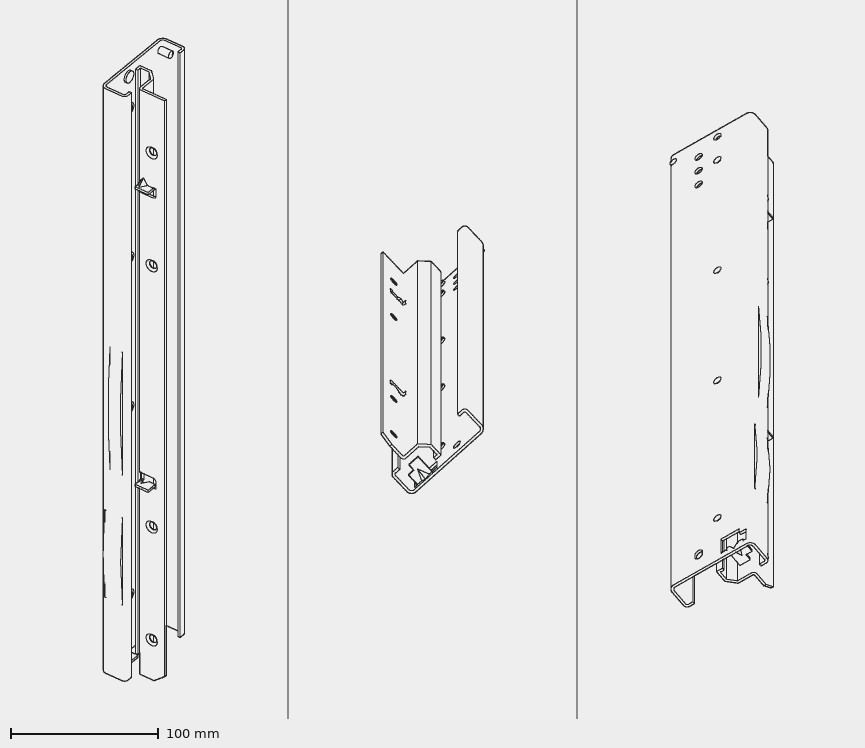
import cadquery as cq
import math

RAIL_LENGTH = 500.0
SHEET = 2.0
CUT_MARGIN = 5.0

RAIL_DEPTH = 69.0
RAIL_WIDTH = 21.0
LIP_LENGTH = 7.0
WEB_CORNER_RADIUS = 4.5
LIP_CORNER_RADIUS = 3.0

MOUNT_HOLE_DIAMETER = 6.0
MOUNT_HOLE_Y = 44.0
MOUNT_HOLE_Z = [449.0, 465.0, 481.0]
MOUNT_SLOT_Z = 19.0
MOUNT_SLOT_LENGTH = 9.0

COLLAR_HOLE_DIAMETER = 6.0
COLLAR_DIAMETER = 9.0
COLLAR_HEIGHT = 1.5
COLLAR_Y = 28.5
COLLAR_HOLE_Z = [49.0, 209.0, 337.0, 465.0]
STOP_Z = 492.0
DIMPLE_FLOOR_DIAMETER = 4.0
DIMPLE_DEPTH = 1.5

PIN_DIAMETER = 5.5
PIN_LENGTH = 11.0
PIN_Y = RAIL_DEPTH - 4.0

TONGUE_BOTTOM = 6.0
WINDOW_STEP_Z = 17.5
WINDOW_TOP = 22.0
WINDOW_Y = [5.0, 10.5, 25.5]
TONGUE_Y = [7.5, 12.5, 21.0]
TONGUE_SHORT = 11.0
TONGUE_LONG = 16.0
TONGUE_GUSSET_Y = 15.0
TONGUE_GUSSET_REACH = 8.0
TONGUE_GUSSET_DROP = 5.0

RAMP_RISE = 2.0
RAMP_RIGHT = 18.5
RAMPS = [
    (3.5, 65.0, 100.5, 105.0, 139.5),
    (8.0, 176.0, 211.5, 246.5, 281.0),
]

HOOK_LEFT = 7.5
HOOK_TOP = 34.5
HOOK_END = 29.5
HOOK_CHAMFER = 6.5
INNER_WEB_RIGHT = 24.0
INNER_WEB_LEFT = INNER_WEB_RIGHT - SHEET
FLANGE_BOTTOM = 13.0
FLANGE_TOP = FLANGE_BOTTOM + SHEET
FLANGE_RIGHT = 44.5
BEND_RADIUS = 2.5
FLANGE_CUT_WIDTH = 9.0
FLANGE_CUT_HEIGHT = 7.5

SCREW_HOLE_DIAMETER = 6.0
SCREW_SINK_DIAMETER = 9.5
SCREW_SINK_DEPTH = 1.5
SCREW_X = 33.5
SCREW_Z = [34.0, 130.5, 354.0, 450.5]

SLOT_RIGHT = 37.0
SLOT_HEIGHT = 8.5
SLOT_CORNER_RADIUS = 2.5
TAB_RIGHT = 35.0
TAB_DROP = 6.0
UPPER_TAB_Z = 421.0
LOWER_TAB_Z = 164.5
TAB_GUSSET_X = 26.5
TAB_GUSSET_LEG = 5.0

GUSSET_HALF_WIDTH = 3.5


def box(x_range, y_range, z_range):
    lengths = [abs(end - start) for start, end in (x_range, y_range, z_range)]
    corner = (min(x_range), min(y_range), min(z_range))
    return cq.Workplane("XY").box(*lengths, centered=False).translate(corner)


def cone(start_diameter, end_diameter, height, start, direction):
    solid = cq.Solid.makeCone(
        start_diameter / 2, end_diameter / 2, height, cq.Vector(*start), cq.Vector(*direction)
    )
    return cq.Workplane(solid)


def gusset(corner, fold_direction, first_leg, second_leg):
    """Tetrahedron that fills the inside corner of a fold."""
    origin = cq.Vector(*corner)
    half_fold = cq.Vector(*fold_direction) * GUSSET_HALF_WIDTH
    points = [
        origin - half_fold,
        origin + half_fold,
        origin + cq.Vector(*first_leg),
        origin + cq.Vector(*second_leg),
    ]
    faces = []
    for skipped in points:
        triangle = [point for point in points if point is not skipped]
        faces.append(cq.Face.makeFromWires(cq.Wire.makePolygon(triangle, close=True)))
    return cq.Workplane(cq.Solid.makeSolid(cq.Shell.makeShell(faces)))


def press_gusset(body, corner, fold_direction, first_leg, second_leg):
    """Add a gusset inside a fold and the matching dent on its outside."""
    rib = gusset(corner, fold_direction, first_leg, second_leg)
    inward = cq.Vector(*first_leg).normalized() + cq.Vector(*second_leg).normalized()
    dent = rib.translate(inward * -SHEET)
    return body.union(rib).cut(dent)



def rail_section():
    outside = (
        box((0, RAIL_WIDTH), (0, RAIL_DEPTH), (0, RAIL_LENGTH))
        .edges("|Z and <X").fillet(WEB_CORNER_RADIUS)
        .edges("|Z and >X").fillet(LIP_CORNER_RADIUS)
    )
    inside = (
        box((SHEET, RAIL_WIDTH - SHEET), (SHEET, RAIL_DEPTH - SHEET), (0, RAIL_LENGTH))
        .edges("|Z and <X").fillet(WEB_CORNER_RADIUS - SHEET)
        .edges("|Z and >X").fillet(LIP_CORNER_RADIUS - SHEET)
    )
    opening = box(
        (RAIL_WIDTH / 2, RAIL_WIDTH + CUT_MARGIN),
        (LIP_LENGTH, RAIL_DEPTH - LIP_LENGTH),
        (0, RAIL_LENGTH),
    )
    return outside.cut(inside).cut(opening)


def web_plane(x, y, z):
    return cq.Workplane("YZ", origin=(x, y, z))


def web_hole(diameter, y, z):
    return web_plane(-CUT_MARGIN, y, z).circle(diameter / 2).extrude(SHEET + 2 * CUT_MARGIN)


def collar(z):
    return web_plane(SHEET, COLLAR_Y, z).circle(COLLAR_DIAMETER / 2).extrude(COLLAR_HEIGHT)


def add_web_holes(rail):
    for z in COLLAR_HOLE_Z:
        rail = rail.union(collar(z)).cut(web_hole(COLLAR_HOLE_DIAMETER, COLLAR_Y, z))
    for z in MOUNT_HOLE_Z:
        rail = rail.cut(web_hole(MOUNT_HOLE_DIAMETER, MOUNT_HOLE_Y, z))
    slot = (
        web_plane(-CUT_MARGIN, MOUNT_HOLE_Y, MOUNT_SLOT_Z)
        .slot2D(MOUNT_SLOT_LENGTH, MOUNT_HOLE_DIAMETER, 90)
        .extrude(SHEET + 2 * CUT_MARGIN)
    )
    return rail.cut(slot)


def add_dimple(rail):
    recess = cone(
        COLLAR_HOLE_DIAMETER, DIMPLE_FLOOR_DIAMETER, DIMPLE_DEPTH, (0, COLLAR_Y, STOP_Z), (1, 0, 0)
    )
    return rail.union(collar(STOP_Z)).cut(recess)


def add_stop_tongue(rail):
    low, step, high = WINDOW_Y
    through_web = (-CUT_MARGIN, SHEET + CUT_MARGIN)
    rail = rail.cut(box(through_web, (low, step), (TONGUE_BOTTOM, WINDOW_STEP_Z)))
    rail = rail.cut(box(through_web, (step, high), (TONGUE_BOTTOM, WINDOW_TOP)))

    low, step, high = TONGUE_Y
    thickness = (TONGUE_BOTTOM, TONGUE_BOTTOM + SHEET)
    tongue = box((0, TONGUE_SHORT), (low, step), thickness)
    tongue = tongue.union(box((0, TONGUE_LONG), (step, high), thickness))
    return press_gusset(
        rail.union(tongue),
        corner=(SHEET, TONGUE_GUSSET_Y, TONGUE_BOTTOM),
        fold_direction=(0, 1, 0),
        first_leg=(TONGUE_GUSSET_REACH, 0, 0),
        second_leg=(0, 0, -TONGUE_GUSSET_DROP),
    )


def ramp(left, bottom, flat_start, flat_end, top):
    root_y = SHEET / 2
    outline = [
        (root_y, bottom),
        (0, bottom),
        (-RAMP_RISE, flat_start),
        (-RAMP_RISE, flat_end),
        (0, top),
        (root_y, top),
    ]
    return web_plane(left, 0, 0).polyline(outline).close().extrude(RAMP_RIGHT - left)


def build_outer_rail():
    rail = add_web_holes(rail_section())
    rail = add_dimple(rail)
    rail = add_stop_tongue(rail)
    for ramp_sizes in RAMPS:
        rail = rail.union(ramp(*ramp_sizes))
    return rail.cut(build_stop_pin())



def build_stop_pin():
    return web_plane(0, PIN_Y, STOP_Z).circle(PIN_DIAMETER / 2).extrude(PIN_LENGTH)



def inner_section():
    miter = SHEET * math.tan(math.pi / 8)
    inner_radius = BEND_RADIUS - SHEET
    diagonal = math.sqrt(0.5)
    bend_x = INNER_WEB_LEFT + BEND_RADIUS
    bend_y = FLANGE_BOTTOM + BEND_RADIUS
    return (
        cq.Workplane("XY")
        .moveTo(HOOK_LEFT, HOOK_END)
        .lineTo(HOOK_LEFT, HOOK_TOP)
        .lineTo(INNER_WEB_RIGHT - HOOK_CHAMFER, HOOK_TOP)
        .lineTo(INNER_WEB_RIGHT, HOOK_TOP - HOOK_CHAMFER)
        .lineTo(INNER_WEB_RIGHT, bend_y)
        .threePointArc(
            (bend_x - inner_radius * diagonal, bend_y - inner_radius * diagonal), (bend_x, FLANGE_TOP)
        )
        .lineTo(FLANGE_RIGHT, FLANGE_TOP)
        .lineTo(FLANGE_RIGHT, FLANGE_BOTTOM)
        .lineTo(bend_x, FLANGE_BOTTOM)
        .threePointArc(
            (bend_x - BEND_RADIUS * diagonal, bend_y - BEND_RADIUS * diagonal), (INNER_WEB_LEFT, bend_y)
        )
        .lineTo(INNER_WEB_LEFT, HOOK_TOP - HOOK_CHAMFER - miter)
        .lineTo(INNER_WEB_RIGHT - HOOK_CHAMFER - miter, HOOK_TOP - SHEET)
        .lineTo(HOOK_LEFT + SHEET, HOOK_TOP - SHEET)
        .lineTo(HOOK_LEFT + SHEET, HOOK_END)
        .close()
        .extrude(RAIL_LENGTH)
    )


def flange_corner_cut():
    return (
        cq.Workplane("XZ", origin=(0, FLANGE_TOP, 0))
        .moveTo(FLANGE_RIGHT, 0)
        .lineTo(FLANGE_RIGHT - FLANGE_CUT_WIDTH, 0)
        .lineTo(FLANGE_RIGHT, FLANGE_CUT_HEIGHT)
        .close()
        .extrude(SHEET)
    )


def screw_hole(z):
    start = (SCREW_X, FLANGE_BOTTOM, z)
    hole = cq.Workplane("XZ", origin=start).circle(SCREW_HOLE_DIAMETER / 2).extrude(-SHEET)
    sink = cone(SCREW_SINK_DIAMETER, SCREW_HOLE_DIAMETER, SCREW_SINK_DEPTH, start, (0, 1, 0))
    return hole.union(sink)


def add_bent_tab(rail, fold_z, slot_side):
    """Slot on one side of fold_z (slot_side is +1 up or -1 down) with the tab bent to -Y at the fold."""
    slot_end = fold_z + slot_side * SLOT_HEIGHT
    far_edges = "|Y and >Z" if slot_side > 0 else "|Y and <Z"
    slot = (
        box((INNER_WEB_LEFT, SLOT_RIGHT), (FLANGE_BOTTOM, FLANGE_TOP + SHEET), (fold_z, slot_end))
        .edges(far_edges).fillet(SLOT_CORNER_RADIUS)
    )
    tab = box(
        (INNER_WEB_RIGHT, TAB_RIGHT),
        (FLANGE_BOTTOM - TAB_DROP, FLANGE_TOP),
        (fold_z, fold_z + slot_side * SHEET),
    )
    return press_gusset(
        rail.cut(slot).union(tab),
        corner=(TAB_GUSSET_X, FLANGE_BOTTOM, fold_z),
        fold_direction=(1, 0, 0),
        first_leg=(0, -TAB_GUSSET_LEG, 0),
        second_leg=(0, 0, -slot_side * TAB_GUSSET_LEG),
    )


def build_inner_rail():
    rail = inner_section().cut(flange_corner_cut())
    for z in SCREW_Z:
        rail = rail.cut(screw_hole(z))
    rail = add_bent_tab(rail, UPPER_TAB_Z, -1)
    return add_bent_tab(rail, LOWER_TAB_Z, 1)


outer_rail = build_outer_rail()
stop_pin = build_stop_pin()
inner_rail = build_inner_rail()

result = cq.Compound.makeCompound([body.solids().val() for body in (outer_rail, stop_pin, inner_rail)])